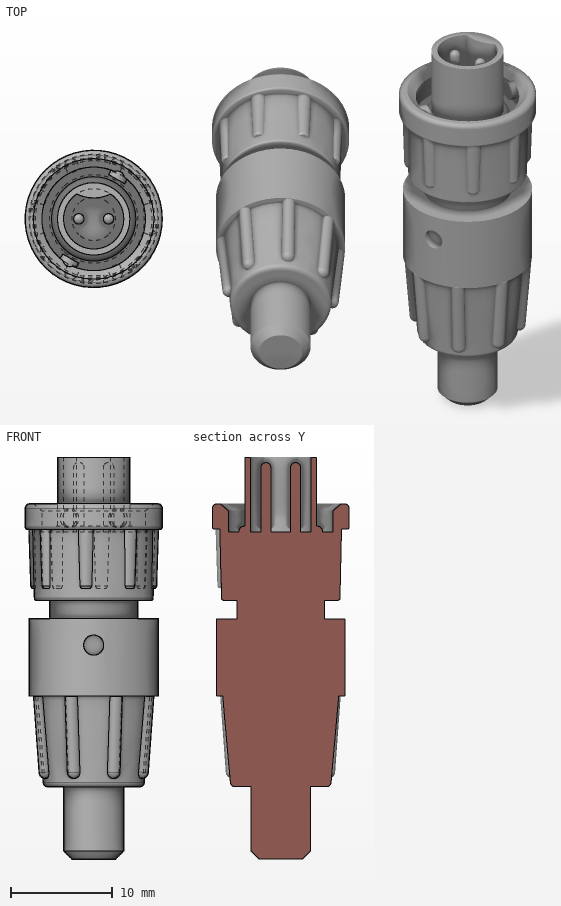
import cadquery as cq
import math


total_height = 39.45
grip_bottom = 7.1
sleeve_bottom = 16.0
sleeve_top = 23.65
nut_bottom = 25.4
ring_bottom = 32.4
ring_top = 34.9

cable_radius = 2.95
cable_chamfer = 0.83

grip_bottom_radius = 4.95
grip_top_radius = 5.72
grip_edge_fillet = 0.47
grip_rib_count = 8
grip_rib_radius = 0.65
grip_rib_end_height = 8.55
grip_rib_bottom_place = 5.13
grip_rib_top_place = 5.72
grip_rib_first_angle = 22.5

sleeve_radius = 6.35
hole_radius = 1.0
hole_depth = 0.8
hole_height = 21.03

neck_radius = 4.35

nut_bottom_radius = 5.85
nut_top_radius = 6.0
nut_edge_fillet = 0.25
ring_radius = 6.75
ring_top_fillet = 0.47
ring_bottom_fillet = 0.25
nut_rib_count = 8
nut_rib_place = 5.6
nut_rib_bottom = 26.6
nut_rib_bottom_radius = 0.65
nut_rib_top_radius = 0.83
nut_rib_chamfer_height = 0.25
nut_rib_chamfer_inset = 0.1
nut_rib_first_angle = -7.5

socket_floor = 32.15
socket_radius = 5.1
socket_mouth_radius = 5.9
socket_taper_height = 0.7

plug_radius = 3.55
collar_radius = 4.15

bore_radius = 2.95
key_face_place = 2.05
key_face_radius = 3.7

pin_radius = 0.5
pin_place = 1.45
pin_dome_base = 38.45

lug_count = 2
lug_radius = 0.9
lug_height = 33.5
lug_inner_place = 4.5
lug_outer_place = 5.72
lug_first_angle = 60.0


def cylinder(radius, bottom, top):
    return cq.Workplane("XY").workplane(offset=bottom).circle(radius).extrude(top - bottom)


def cone(bottom_radius, top_radius, bottom, top):
    outline = [(0, bottom), (bottom_radius, bottom), (top_radius, top), (0, top)]
    return revolved(cq.Workplane("XZ").polyline(outline).close())


def revolved(profile):
    return profile.revolve(360, (0, 0, 0), (0, 1, 0))


def ring_of(shape, count, first_angle):
    """Join copies of a shape spaced evenly about the Z axis."""
    copies = cq.Workplane("XY")
    for i in range(count):
        angle = first_angle + i * 360 / count
        copies = copies.add(shape.rotate((0, 0, 0), (0, 0, 1), angle))
    return copies.combine()


def make_cable():
    return cylinder(cable_radius, 0, sleeve_bottom).faces("<Z").chamfer(cable_chamfer)


def make_grip():
    grip = cone(grip_bottom_radius, grip_top_radius, grip_bottom, sleeve_bottom)
    grip = grip.faces("<Z").edges().fillet(grip_edge_fillet)
    start = cq.Vector(0, -grip_rib_bottom_place, grip_rib_end_height)
    end = cq.Vector(0, -grip_rib_top_place, sleeve_bottom)
    axis = end - start
    rod = cq.Solid.makeCylinder(grip_rib_radius, axis.Length, start, axis)
    ball = cq.Workplane("XY").sphere(grip_rib_radius).translate(start)
    rib = cq.Workplane(rod).union(ball)
    return grip.union(ring_of(rib, grip_rib_count, grip_rib_first_angle))


def make_sleeve():
    sleeve = cylinder(sleeve_radius, sleeve_bottom, sleeve_top)
    hole = (
        cq.Workplane("XZ", origin=(0, -sleeve_radius + hole_depth, hole_height))
        .circle(hole_radius)
        .extrude(2 * hole_depth)
    )
    return sleeve.cut(hole)


def make_neck():
    return cylinder(neck_radius, sleeve_top, nut_bottom)


def make_nut():
    body = cone(nut_bottom_radius, nut_top_radius, nut_bottom, ring_bottom)
    body = body.faces("<Z").edges().fillet(nut_edge_fillet)
    ring = cylinder(ring_radius, ring_bottom, ring_top)
    ring = ring.faces(">Z").edges().fillet(ring_top_fillet)
    ring = ring.faces("<Z").edges().fillet(ring_bottom_fillet)
    rib_top = ring_bottom + ring_bottom_fillet
    rib = cone(nut_rib_bottom_radius, nut_rib_top_radius, nut_rib_bottom, rib_top)
    rib = rib.faces("<Z").chamfer(nut_rib_chamfer_inset, nut_rib_chamfer_height)
    rib = rib.translate((0, -nut_rib_place, 0))
    return body.union(ring).union(ring_of(rib, nut_rib_count, nut_rib_first_angle))


def make_socket_space():
    space = cylinder(socket_radius, socket_floor, ring_top)
    return space.union(
        cone(socket_radius, socket_mouth_radius, ring_top - socket_taper_height, ring_top)
    )


def make_lugs():
    lug = (
        cq.Workplane("YZ", origin=(lug_inner_place, 0, lug_height))
        .circle(lug_radius)
        .extrude(lug_outer_place - lug_inner_place)
    )
    return ring_of(lug, lug_count, lug_first_angle)


def make_plug():
    tube = cylinder(plug_radius, socket_floor, total_height)
    collar_round = collar_radius - plug_radius
    reach = collar_round * math.sqrt(0.5)
    collar = revolved(
        cq.Workplane("XZ")
        .moveTo(0, socket_floor)
        .lineTo(collar_radius, socket_floor)
        .threePointArc(
            (plug_radius + reach, socket_floor + reach),
            (plug_radius, socket_floor + collar_round),
        )
        .lineTo(0, socket_floor + collar_round)
        .close()
    )
    key = cylinder(key_face_radius, socket_floor, total_height)
    key = key.translate((0, key_face_place + key_face_radius, 0))
    bore = cylinder(bore_radius, socket_floor, total_height).cut(key)
    plug = tube.union(collar).cut(bore)
    for side in (-1, 1):
        pin = cylinder(pin_radius, socket_floor, pin_dome_base)
        pin = pin.union(cq.Workplane("XY").sphere(pin_radius).translate((0, 0, pin_dome_base)))
        plug = plug.union(pin.translate((side * pin_place, 0, 0)))
    return plug


shell = make_cable().union(make_grip()).union(make_sleeve()).union(make_neck()).union(make_nut())
result = shell.cut(make_socket_space()).union(make_lugs()).union(make_plug())